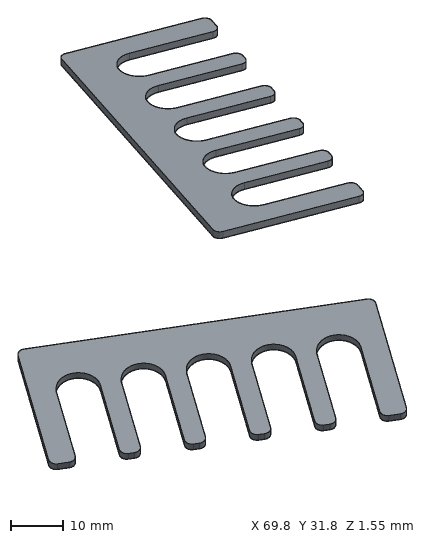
import cadquery as cq

length = 69.85
width = 31.8
thickness = 1.55
corner_radius = 1.5

slot_count = 5
slot_pitch = 12.7
slot_width = 8.6
slot_floor = 8.3

slot_radius = slot_width / 2
arc_center_y = slot_floor + slot_radius


def plate():
    """Flat rectangular blank with its -Y edge on the X axis."""
    return cq.Workplane("XY").rect(length, width).extrude(thickness).translate((0, width / 2, 0))


def slot(center_x):
    """Cutter for one slot: straight sides closed by a half circle."""
    left = center_x - slot_radius
    right = center_x + slot_radius
    return (
        cq.Workplane("XY")
        .moveTo(left, width)
        .lineTo(left, arc_center_y)
        .threePointArc((center_x, slot_floor), (right, arc_center_y))
        .lineTo(right, width)
        .close()
        .extrude(thickness)
    )


comb = plate()
first_slot_x = -slot_pitch * (slot_count - 1) / 2
for index in range(slot_count):
    comb = comb.cut(slot(first_slot_x + index * slot_pitch))

result = comb.edges("|Z and (>Y or <Y)").fillet(corner_radius)